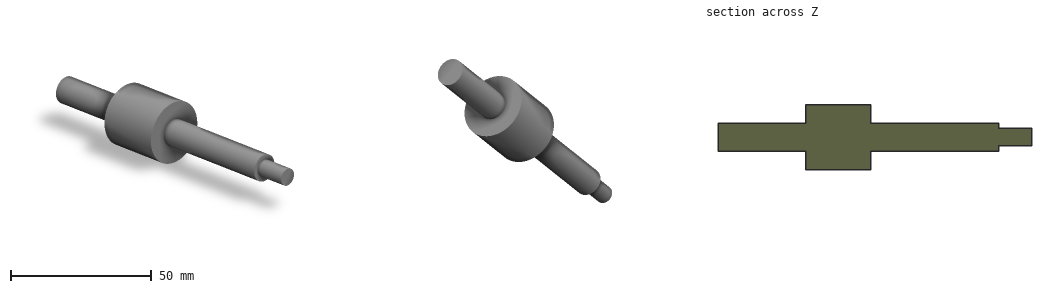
import cadquery as cq

total_length = 111.5
shaft_diameter = 10.1
collar_diameter = 23.3
collar_length = 23.4
collar_offset = 31.0
pin_diameter = 6.5
pin_length = 11.7

start_x = -total_length / 2
shaft_length = total_length - pin_length


def cylinder_along_x(x_start, length, diameter):
    """Solid cylinder on the X axis, running toward +X from x_start."""
    return cq.Workplane("YZ", origin=(x_start, 0, 0)).circle(diameter / 2).extrude(length)


shaft = cylinder_along_x(start_x, shaft_length, shaft_diameter)
collar = cylinder_along_x(start_x + collar_offset, collar_length, collar_diameter)
end_pin = cylinder_along_x(start_x + shaft_length, pin_length, pin_diameter)

result = shaft.union(collar).union(end_pin)